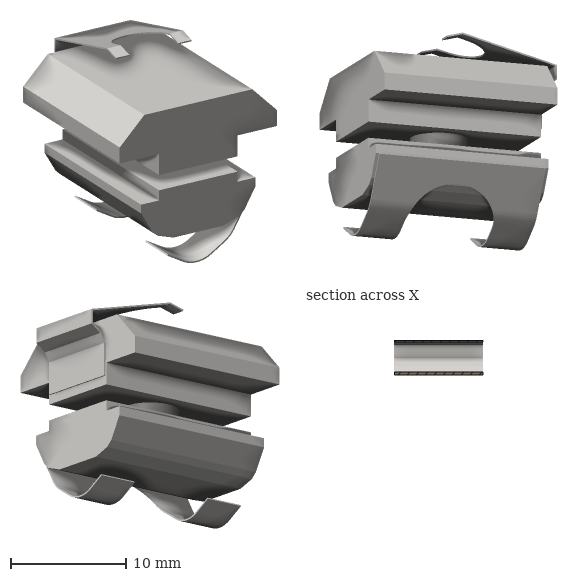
import cadquery as cq
import math

LENGTH = 16.0
HALF_LENGTH = LENGTH / 2
NECK_HALF_WIDTH = 4.0
STEM_DIAMETER = 5.0
SHEET_THICKNESS = 0.15

BASE_HALF_WIDTH = 5.82
BASE_FLAT_HALF_WIDTH = 2.55
BASE_KNEE_HALF_WIDTH = 4.12
BASE_KNEE_Z = 0.52
BASE_SIDE_BOTTOM_Z = 1.02
BASE_SIDE_TOP_Z = 3.0
BASE_SIDE_ANGLE = math.radians(60)
BASE_SHOULDER_Z = 3.82
BASE_TOP_Z = 4.77

HEAD_BOTTOM_Z = 6.2
HEAD_SHOULDER_Z = 8.17
HEAD_TOP_Z = 12.19
HEAD_WIDTH = 16.0
HEAD_HALF_WIDTH = HEAD_WIDTH / 2
HEAD_CHAMFER = 2.5

CLIP_WIDTH = 7.7
CLIP_BOTTOM_Z = 7.02
CLIP_NOTCH_WIDTH = STEM_DIAMETER
CLIP_NOTCH_CENTER_X = -1.6
CLIP_PATH = [
    (-HALF_LENGTH, CLIP_BOTTOM_Z),
    (-HALF_LENGTH, 9.98),
    (-8.44, 10.88),
    (-9.37, 11.54),
    (-9.37, 12.67),
    (-0.8, 14.78),
    (0.61, 14.4),
]

SPRING_LENGTH = 15.41
SPRING_FALL_ANGLE = math.radians(32)
SPRING_RISE_ANGLE = math.radians(30)
SPRING_UPPER_RADIUS = 2.8
SPRING_BOTTOM_RADIUS = 2.72
SPRING_DEPTH = 3.0
SPRING_END_Y = -2.9
SPRING_NOTCH_WIDTH = 8.1
SPRING_NOTCH_DISTANCE = 6.15
CUT_REACH = 21.5


def mirrored_profile(half_outline):
    """Extrude a half outline, mirrored about Y = 0, along the part."""
    other_half = [(-y, z) for y, z in reversed(half_outline)]
    return (
        cq.Workplane("YZ")
        .polyline(half_outline + other_half)
        .close()
        .extrude(HALF_LENGTH, both=True)
    )


def offset_left(path, distance):
    """Offset an open path to the left of its direction, with mitred bends."""
    angles = [math.atan2(b[1] - a[1], b[0] - a[0]) for a, b in zip(path, path[1:])]
    arriving = angles[:1] + angles
    leaving = angles + angles[-1:]
    shifted = []
    for (u, v), before, after in zip(path, arriving, leaving):
        du = math.cos(before) + math.cos(after)
        dv = math.sin(before) + math.sin(after)
        scale = 2 * distance / (du ** 2 + dv ** 2)
        shifted.append((u - scale * dv, v + scale * du))
    return shifted


def bent_sheet(plane, path, width):
    """Sheet of constant thickness on the left of a path, centred across its width."""
    outline = path + offset_left(path, SHEET_THICKNESS)[::-1]
    return cq.Workplane(plane).polyline(outline).close().extrude(width / 2, both=True)


def make_base():
    side_run = (BASE_SIDE_TOP_Z - BASE_SIDE_BOTTOM_Z) / math.tan(BASE_SIDE_ANGLE)
    return mirrored_profile([
        (BASE_FLAT_HALF_WIDTH, 0),
        (BASE_KNEE_HALF_WIDTH, BASE_KNEE_Z),
        (BASE_HALF_WIDTH - side_run, BASE_SIDE_BOTTOM_Z),
        (BASE_HALF_WIDTH, BASE_SIDE_TOP_Z),
        (BASE_HALF_WIDTH, BASE_SHOULDER_Z),
        (NECK_HALF_WIDTH, BASE_SHOULDER_Z),
        (NECK_HALF_WIDTH, BASE_TOP_Z),
    ])


def make_stem():
    return (
        cq.Workplane("XY", origin=(0, 0, BASE_TOP_Z))
        .circle(STEM_DIAMETER / 2)
        .extrude(HEAD_BOTTOM_Z - BASE_TOP_Z)
    )


def make_head():
    return mirrored_profile([
        (NECK_HALF_WIDTH, HEAD_BOTTOM_Z),
        (NECK_HALF_WIDTH, HEAD_SHOULDER_Z),
        (HEAD_HALF_WIDTH, HEAD_SHOULDER_Z),
        (HEAD_HALF_WIDTH, HEAD_TOP_Z - HEAD_CHAMFER),
        (HEAD_HALF_WIDTH - HEAD_CHAMFER, HEAD_TOP_Z),
    ])


def make_clip():
    notch_radius = CLIP_NOTCH_WIDTH / 2
    notch = (
        cq.Workplane("XY")
        .moveTo(CUT_REACH, -notch_radius)
        .lineTo(CLIP_NOTCH_CENTER_X, -notch_radius)
        .threePointArc(
            (CLIP_NOTCH_CENTER_X - notch_radius, 0),
            (CLIP_NOTCH_CENTER_X, notch_radius),
        )
        .lineTo(CUT_REACH, notch_radius)
        .close()
        .extrude(CUT_REACH)
    )
    return bent_sheet("XZ", CLIP_PATH, CLIP_WIDTH).cut(notch)


def make_spring():
    center_z = SPRING_BOTTOM_RADIUS + SHEET_THICKNESS - SPRING_DEPTH
    steep = math.tan(BASE_SIDE_ANGLE)
    fall = math.tan(SPRING_FALL_ANGLE)
    rise = math.tan(SPRING_RISE_ANGLE)
    fall_z = center_z - SPRING_BOTTOM_RADIUS / math.cos(SPRING_FALL_ANGLE)
    rise_z = center_z - SPRING_BOTTOM_RADIUS / math.cos(SPRING_RISE_ANGLE)
    upper_y = (fall_z - BASE_SIDE_TOP_Z + steep * BASE_HALF_WIDTH) / (steep - fall)
    bottom_y = (rise_z - fall_z) / (fall + rise)
    path = [
        (BASE_HALF_WIDTH, BASE_SIDE_TOP_Z),
        (upper_y, fall_z + fall * upper_y),
        (bottom_y, fall_z + fall * bottom_y),
        (SPRING_END_Y, rise_z - rise * SPRING_END_Y),
    ]
    spring = bent_sheet("YZ", path, SPRING_LENGTH)

    outer_path = offset_left(path, SHEET_THICKNESS)
    bend_radii = (SPRING_UPPER_RADIUS, SPRING_BOTTOM_RADIUS)
    for corners, extra_radius in ((path, 0), (outer_path, SHEET_THICKNESS)):
        for (y, z), radius in zip(corners[1:-1], bend_radii):
            bend_edge = cq.NearestToPointSelector((0, y, z))
            spring = spring.edges(bend_edge).fillet(radius + extra_radius)

    slope_plane = cq.Plane(
        origin=(0, BASE_HALF_WIDTH, BASE_SIDE_TOP_Z),
        xDir=(1, 0, 0),
        normal=(0, math.sin(BASE_SIDE_ANGLE), -math.cos(BASE_SIDE_ANGLE)),
    )
    notch_radius = SPRING_NOTCH_WIDTH / 2
    notch = (
        cq.Workplane(slope_plane)
        .moveTo(-notch_radius, CUT_REACH)
        .lineTo(-notch_radius, SPRING_NOTCH_DISTANCE)
        .threePointArc(
            (0, SPRING_NOTCH_DISTANCE - notch_radius),
            (notch_radius, SPRING_NOTCH_DISTANCE),
        )
        .lineTo(notch_radius, CUT_REACH)
        .close()
        .extrude(CUT_REACH, both=True)
    )
    return spring.cut(notch)


result = make_base().union(make_stem()).union(make_head())
result = result.union(make_clip()).union(make_spring())